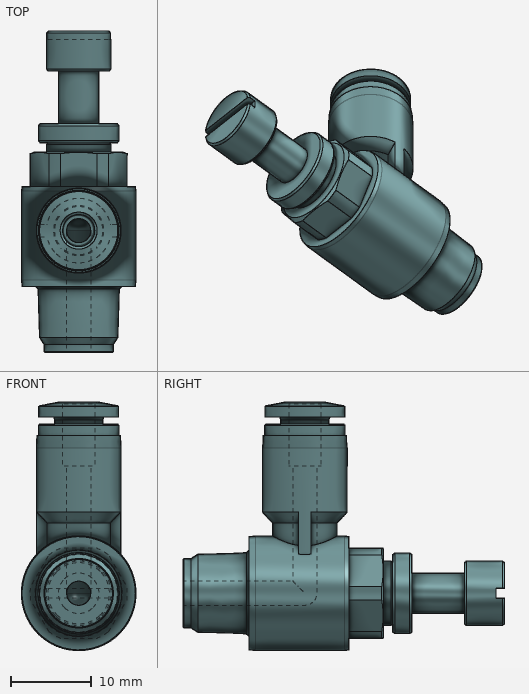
import cadquery as cq


overall_length = 39.8
overall_height = 30.8

body_diameter = 14.2
body_end_diameter = 14.0
collar_diameter = 10.65
thread_large_diameter = 10.05
thread_small_diameter = 9.7
tip_diameter = 8.6
nut_sides = 6
nut_across_flats = 11.15
nut_corner_diameter = 12.0
lock_ring_diameter = 10.0
lock_neck_diameter = 8.0
knob_diameter = 8.0
stem_diameter = 5.0

tip_y = -15.1
tip_start_y = -14.1
thread_end_y = -13.2
thread_start_y = -7.25
body_front_y = -6.93
body_front_lip_y = -6.1
body_back_lip_y = 4.9
body_back_y = 5.45
nut_end_y = 9.75
lock_ring_start_y = 10.85
lock_ring_end_y = 13.25
knob_start_y = 19.75
knob_end_y = tip_y + overall_length

edge_length = 0.28
edge_depth = 0.2
tip_chamfer = 0.1
nut_edge_length = 0.25
nut_edge_depth = 0.15

slot_width = 1.2
slot_depth = 1.05

port_diameter = 10.5
port_neck_diameter = 8.0
port_ring_diameter = 10.0
release_diameter = 9.9
release_neck_diameter = 5.97
release_flare_diameter = 6.2
mouth_diameter = 4.58
hose_diameter = 3.98

port_neck_top_z = 8.7
port_start_z = 10.03
port_seam_z = 17.95
port_end_z = 19.5
port_ring_end_z = 20.95
release_flare_z = 21.45
release_start_z = 21.8
release_rim_z = 23.2
release_end_z = overall_height - body_diameter / 2

port_shoulder_depth = 0.08
port_ring_chamfer = 0.15
release_rim_chamfer = 0.1

rib_width = 1.55

passage_diameter = 3.0
hose_depth = 7.95
mouth_chamfer = (mouth_diameter - hose_diameter) / 2


def turned_y(profile):
    """Solid of revolution about Y from (diameter, y) stations."""
    points = [(diameter / 2, y) for diameter, y in profile]
    outline = [(0, points[0][1])] + points + [(0, points[-1][1])]
    return cq.Workplane("XY").polyline(outline).close().revolve(360, (0, 0), (0, 1))


def turned_z(profile):
    """Solid of revolution about Z from (diameter, z) stations."""
    return turned_y(profile).rotate((0, 0, 0), (1, 0, 0), 90)


def edge_broken_disc(diameter, start_y, end_y):
    """Disc along Y with both rims chamfered."""
    face_diameter = diameter - 2 * edge_depth
    return turned_y([
        (face_diameter, start_y),
        (diameter, start_y + edge_length),
        (diameter, end_y - edge_length),
        (face_diameter, end_y),
    ])


def valve_body():
    """Tapered thread, collar and barrel of the valve."""
    return turned_y([
        (tip_diameter - 2 * tip_chamfer, tip_y),
        (tip_diameter, tip_y + tip_chamfer),
        (tip_diameter, tip_start_y),
        (thread_small_diameter, thread_end_y),
        (thread_large_diameter, thread_start_y),
        (collar_diameter, body_front_y),
        (body_end_diameter, body_front_y),
        (body_diameter, body_front_lip_y),
        (body_diameter, body_back_lip_y),
        (body_end_diameter, body_back_y),
    ])


def nut():
    """Hexagon with flats facing +Z and -Z and rounded-off corners."""
    hexagon = (
        cq.Workplane("XZ", origin=(0, body_front_y, 0))
        .polygon(nut_sides, nut_across_flats, circumscribed=True)
        .extrude(body_front_y - nut_end_y)
        .rotate((0, 0, 0), (0, 1, 0), 360 / nut_sides / 2)
    )
    corner_limit = turned_y([
        (nut_corner_diameter, body_front_lip_y),
        (nut_corner_diameter, nut_end_y - nut_edge_length),
        (nut_across_flats - 2 * nut_edge_depth, nut_end_y),
    ])
    return hexagon.intersect(corner_limit)


def adjuster():
    """Lock ring, stem and slotted knob."""
    neck = turned_y([
        (lock_neck_diameter, body_back_y),
        (lock_neck_diameter, lock_ring_start_y - edge_depth),
        (lock_neck_diameter - 2 * edge_depth, lock_ring_start_y),
    ])
    stem = turned_y([(stem_diameter, lock_ring_start_y), (stem_diameter, knob_end_y - slot_depth)])
    lock_ring = edge_broken_disc(lock_ring_diameter, lock_ring_start_y, lock_ring_end_y)
    slot = cq.Workplane("XY", origin=(0, knob_end_y, 0)).box(knob_diameter, 2 * slot_depth, slot_width)
    knob = edge_broken_disc(knob_diameter, knob_start_y, knob_end_y).cut(slot)
    return neck.union(stem).union(lock_ring).union(knob)


def hose_port():
    """Upright port with its retaining ring and release button."""
    return turned_z([
        (port_neck_diameter, 0),
        (port_neck_diameter, port_neck_top_z),
        (port_diameter, port_start_z),
        (port_diameter, port_seam_z),
        (port_diameter - 2 * port_shoulder_depth, port_end_z),
        (port_ring_diameter, port_end_z),
        (port_ring_diameter, port_ring_end_z - port_ring_chamfer),
        (port_ring_diameter - 2 * port_ring_chamfer, port_ring_end_z),
        (release_neck_diameter, port_ring_end_z),
        (release_neck_diameter, release_flare_z),
        (release_flare_diameter, release_start_z),
        (release_diameter, release_start_z),
        (release_diameter, release_rim_z - release_rim_chamfer),
        (release_diameter - 2 * release_rim_chamfer, release_rim_z),
        (mouth_diameter, release_end_z),
    ])


def ribs():
    """Web across the port neck, flush with the port wall on both sides."""
    web = cq.Workplane("XY").rect(port_diameter, rib_width).extrude(port_seam_z)
    envelope = cq.Workplane("XY").circle(port_diameter / 2).extrude(port_seam_z)
    return web.intersect(envelope)


def flow_passage():
    """Elbow from the thread tip to the hose socket, with a ball-shaped corner."""
    hose_end_z = release_end_z - hose_depth
    corner = cq.Workplane("XY").sphere(passage_diameter / 2)
    inlet = turned_y([(passage_diameter, tip_y), (passage_diameter, 0)])
    outlet = turned_z([
        (passage_diameter, 0),
        (passage_diameter, hose_end_z),
        (hose_diameter, hose_end_z),
        (hose_diameter, release_end_z - mouth_chamfer),
        (mouth_diameter, release_end_z),
    ])
    return corner.union(inlet).union(outlet)


result = (
    valve_body()
    .union(nut())
    .union(adjuster())
    .union(hose_port())
    .union(ribs())
    .cut(flow_passage())
)